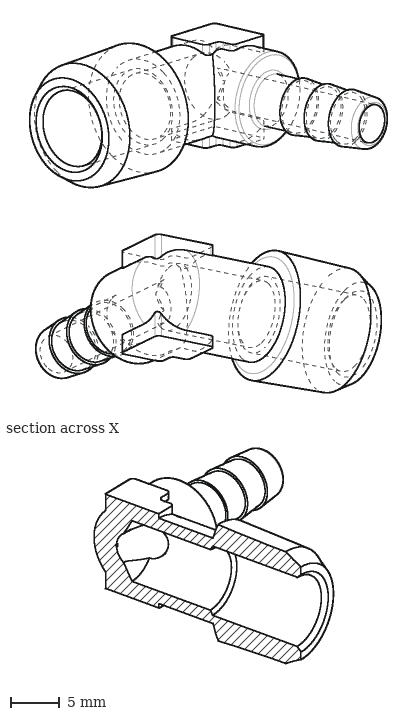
import cadquery as cq
import math


BODY_RADIUS = 5.0
SHOULDER_X = 8.0
SHOULDER_EDGE_RADIUS = 0.3

PLUG_LENGTH = 11.5
PLUG_END_Y = -22.0
PLUG_LARGE_RADIUS = 6.8
PLUG_SMALL_RADIUS = 6.52
PLUG_NOSE_RADIUS = 5.4
PLUG_NOSE_LENGTH = 2.0
PLUG_BACK_LENGTH = 0.7
PLUG_BACK_STEP_RADIUS = 6.1
PLUG_BACK_Y = PLUG_END_Y + PLUG_LENGTH

STEM_RADIUS = 2.75
STEM_ROOT_RADIUS = 0.35
BARB_RADIUS = 3.0
BARB_VALLEY_RADIUS = 2.7
BARB_PITCH = 3.3
BARB_COUNT = 3
BARB_END_X = 22.0
BARB_TIP_ROUND = 0.5

PAD_MIN_X = -2.5
PAD_MAX_X = 4.5
PAD_TOP_Y = 3.5
PAD_BOTTOM_Y = -3.5
PAD_NOTCH_X = 2.5
PAD_NOTCH_Y = -1.5
PAD_HALF_HEIGHT = 5.5
PAD_CORNER_RADIUS = 0.5

PLUG_MOUTH_RADIUS = 4.5
PLUG_MOUTH_DEPTH = 0.5
PLUG_BORE_RADIUS = 4.0
INNER_BORE_RADIUS = 3.5
BARB_BORE_RADIUS = 2.0
DRILL_POINT_ANGLE = 118.0


def drill_tip(radius):
    """Length of the conical point left by a drill of the given radius."""
    return radius / math.tan(math.radians(DRILL_POINT_ANGLE / 2))


def revolve_about_x(profile):
    return profile.close().revolve(360, (0, 0, 0), (1, 0, 0))


def revolve_about_y(profile):
    return profile.close().revolve(360, (0, 0, 0), (0, 1, 0))


def make_body():
    plug_leg = cq.Workplane("XZ").circle(BODY_RADIUS).extrude(-PLUG_BACK_Y)
    barb_leg = cq.Workplane("YZ").circle(BODY_RADIUS).extrude(SHOULDER_X)
    barb_leg = barb_leg.faces(">X").edges().fillet(SHOULDER_EDGE_RADIUS)
    corner = cq.Workplane("XY").sphere(BODY_RADIUS)
    return plug_leg.union(barb_leg).union(corner)


def make_plug():
    rim_y = PLUG_BACK_Y - PLUG_BACK_LENGTH
    back_step_y = PLUG_BACK_Y - PLUG_BACK_LENGTH / 2
    return revolve_about_y(
        cq.Workplane("XY")
        .moveTo(0, PLUG_END_Y)
        .lineTo(PLUG_NOSE_RADIUS, PLUG_END_Y)
        .lineTo(PLUG_SMALL_RADIUS, PLUG_END_Y + PLUG_NOSE_LENGTH)
        .lineTo(PLUG_LARGE_RADIUS, rim_y)
        .lineTo(PLUG_BACK_STEP_RADIUS, back_step_y)
        .lineTo(BODY_RADIUS, PLUG_BACK_Y)
        .lineTo(0, PLUG_BACK_Y)
    )


def make_barb():
    first_barb_x = BARB_END_X - BARB_COUNT * BARB_PITCH
    root_x = SHOULDER_X + STEM_ROOT_RADIUS
    root_radius = STEM_RADIUS + STEM_ROOT_RADIUS
    profile = (
        cq.Workplane("XY")
        .lineTo(SHOULDER_X, 0)
        .lineTo(SHOULDER_X, root_radius)
        .radiusArc((root_x, STEM_RADIUS), -STEM_ROOT_RADIUS)
        .lineTo(first_barb_x, STEM_RADIUS)
    )
    for index in range(BARB_COUNT):
        barb_x = first_barb_x + index * BARB_PITCH
        profile = profile.lineTo(barb_x, BARB_RADIUS)
        profile = profile.lineTo(barb_x + BARB_PITCH, BARB_VALLEY_RADIUS)
    barb = revolve_about_x(profile.lineTo(BARB_END_X, 0))
    return barb.faces(">X").edges().fillet(BARB_TIP_ROUND)


def make_pads():
    outline = [
        (PAD_MIN_X, PAD_TOP_Y),
        (PAD_MAX_X, PAD_TOP_Y),
        (PAD_MAX_X, PAD_NOTCH_Y),
        (PAD_NOTCH_X, PAD_NOTCH_Y),
        (PAD_NOTCH_X, PAD_BOTTOM_Y),
        (PAD_MIN_X, PAD_BOTTOM_Y),
    ]
    pads = cq.Workplane("XY").polyline(outline).close().extrude(PAD_HALF_HEIGHT, both=True)
    return pads.edges("|Z").fillet(PAD_CORNER_RADIUS)


def make_plug_bore():
    step_length = drill_tip(PLUG_BORE_RADIUS) - drill_tip(INNER_BORE_RADIUS)
    return revolve_about_y(
        cq.Workplane("XY")
        .moveTo(0, PLUG_END_Y)
        .lineTo(PLUG_MOUTH_RADIUS, PLUG_END_Y)
        .lineTo(PLUG_BORE_RADIUS, PLUG_END_Y + PLUG_MOUTH_DEPTH)
        .lineTo(PLUG_BORE_RADIUS, PLUG_BACK_Y)
        .lineTo(INNER_BORE_RADIUS, PLUG_BACK_Y + step_length)
        .lineTo(INNER_BORE_RADIUS, 0)
        .lineTo(0, drill_tip(INNER_BORE_RADIUS))
    )


def make_barb_bore():
    return revolve_about_x(
        cq.Workplane("XY")
        .moveTo(-drill_tip(BARB_BORE_RADIUS), 0)
        .lineTo(0, BARB_BORE_RADIUS)
        .lineTo(BARB_END_X, BARB_BORE_RADIUS)
        .lineTo(BARB_END_X, 0)
    )


outside = make_body().union(make_plug()).union(make_barb()).union(make_pads())
result = outside.cut(make_plug_bore()).cut(make_barb_bore())